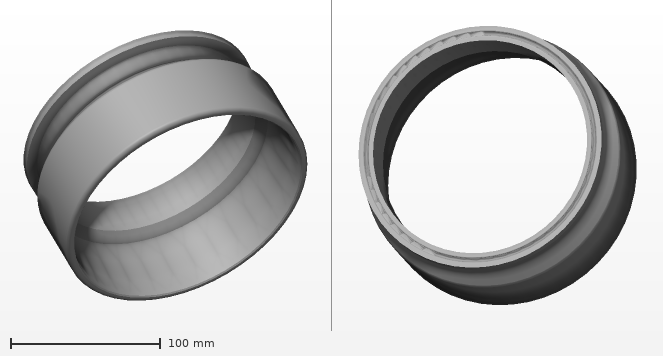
import cadquery as cq
import math

length = 82.6
body_radius = 176.5 / 2
flange_radius = 166.8 / 2
neck_radius = 152.7 / 2
bore_radius = 146.9 / 2

rim_width = 5.8
back_angle = 20
flange_fillet = 1.5

groove_centre_radius = 78.2
groove_round = 1.6
groove_depth = 1.2
groove_edge_fillet = 0.7

cone_angle = 45
outer_cone_start = 21.0
cone_fillet = 3.0
inner_cone_start = 28.2
inner_cone_length = 6.4

end_bore_radius = 82.8
end_chamfer = 0.9
end_fillet = 3.4

cone_slope = math.tan(math.radians(cone_angle))
flange_end = rim_width + (flange_radius - neck_radius) * math.tan(math.radians(back_angle))
outer_cone_end = outer_cone_start + (body_radius - neck_radius) / cone_slope
inner_cone_end = inner_cone_start + inner_cone_length
body_bore_radius = bore_radius + inner_cone_length * cone_slope
groove_half_width = math.sqrt(groove_round**2 - (groove_round - groove_depth) ** 2)

axis_start = (0, 0, 0)
axis_end = (1, 0, 0)


def make_ring():
    """Wall section, given as (x, radius) points, turned about the X axis."""
    section = [
        (0, bore_radius),
        (0, flange_radius),
        (rim_width, flange_radius),
        (flange_end, neck_radius),
        (outer_cone_start, neck_radius),
        (outer_cone_end, body_radius),
        (length, body_radius),
        (length, end_bore_radius + end_chamfer),
        (length - end_chamfer, end_bore_radius),
        (inner_cone_end, body_bore_radius),
        (inner_cone_start, bore_radius),
    ]
    return cq.Workplane("XY").polyline(section).close().revolve(360, axis_start, axis_end)


def make_groove():
    """Ring under a shallow arc whose chord lies on the flange face."""
    inner_end = (0, groove_centre_radius - groove_half_width)
    deepest = (groove_depth, groove_centre_radius)
    outer_end = (0, groove_centre_radius + groove_half_width)
    return (
        cq.Workplane("XY")
        .moveTo(*inner_end)
        .threePointArc(deepest, outer_end)
        .close()
        .revolve(360, axis_start, axis_end)
    )


def round_edge(part, x, radius, fillet):
    """Fillet the circular edge of the given radius at the given x."""
    tolerance = 0.02
    edges = [
        edge
        for edge in part.edges("%CIRCLE").vals()
        if abs(edge.Center().x - x) < tolerance and abs(edge.radius() - radius) < tolerance
    ]
    return part.newObject(edges).fillet(fillet)


result = make_ring().cut(make_groove())

rounded_edges = [
    (flange_end, neck_radius, flange_fillet),
    (outer_cone_start, neck_radius, cone_fillet),
    (outer_cone_end, body_radius, cone_fillet),
    (length, body_radius, end_fillet),
    (0, groove_centre_radius - groove_half_width, groove_edge_fillet),
    (0, groove_centre_radius + groove_half_width, groove_edge_fillet),
]
for edge_x, edge_radius, edge_fillet in rounded_edges:
    result = round_edge(result, edge_x, edge_radius, edge_fillet)